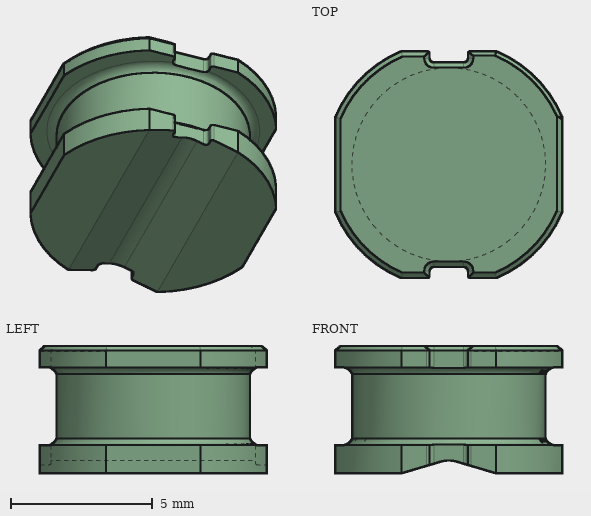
import cadquery as cq
import math

width = 8.0
height = 4.5
flat_length = 3.34
half_width = width / 2
half_flat = flat_length / 2
corner_radius = math.hypot(half_width, half_flat)

bottom_thickness = 1.0
top_thickness = 0.76
core_radius = 6.82 / 2
flare_reach = 0.34
flare_height = 0.24
rim_chamfer_in = 0.19
rim_chamfer_down = 0.16

notch_width = 1.34
notch_depth = 0.39
notch_inner_radius = 0.14
notch_mouth_radius = 0.1

channel_peak = 0.5
channel_peak_radius = 1.0

top_flange_base = height - top_thickness


def notch_cutter(direction):
    """Rounded notch with flared mouth, open towards +Y or -Y."""
    half = notch_width / 2
    r_in = notch_inner_radius
    r_out = notch_mouth_radius
    floor = half_width - notch_depth
    diagonal = math.sqrt(0.5)
    bend_in = r_in * (1 - diagonal)
    bend_out = r_out * (1 - diagonal)
    cutter = (
        cq.Workplane("XY")
        .moveTo(-half - r_out, half_width)
        .threePointArc((-half - bend_out, half_width - bend_out), (-half, half_width - r_out))
        .lineTo(-half, floor + r_in)
        .threePointArc((-half + bend_in, floor + bend_in), (-half + r_in, floor))
        .lineTo(half - r_in, floor)
        .threePointArc((half - bend_in, floor + bend_in), (half, floor + r_in))
        .lineTo(half, half_width - r_out)
        .threePointArc((half + bend_out, half_width - bend_out), (half + r_out, half_width))
        .close()
        .extrude(height)
    )
    return cutter if direction > 0 else cutter.mirror("XZ")


def flange(base, thickness):
    """Square plate with round corners and a sharp-mouthed notch in the front and back flats."""
    square = cq.Workplane("XY").rect(width, width).extrude(thickness)
    plate = cq.Workplane("XY").circle(corner_radius).extrude(thickness).intersect(square)
    notch_center = half_width - notch_depth / 2
    for side in (-1, 1):
        notch = (
            cq.Workplane("XY")
            .center(0, side * notch_center)
            .rect(notch_width, notch_depth)
            .extrude(thickness)
            .edges("|Z")
            .edges("<Y" if side > 0 else ">Y")
            .fillet(notch_inner_radius)
        )
        plate = plate.cut(notch)
    return plate.translate((0, 0, base))


def core():
    """Round core, flared into both flanges by arcs that run out tangent to the flange faces."""
    flare_radius = core_radius + flare_reach
    arc_radius = (flare_reach**2 + flare_height**2) / (2 * flare_height)
    half_angle = math.atan2(flare_height, flare_reach)
    bend_radius = flare_radius - arc_radius * math.sin(half_angle)
    bend_rise = arc_radius * (1 - math.cos(half_angle))
    low = bottom_thickness
    high = top_flange_base
    return (
        cq.Workplane("XZ")
        .moveTo(0, low)
        .lineTo(flare_radius, low)
        .threePointArc((bend_radius, low + bend_rise), (core_radius, low + flare_height))
        .lineTo(core_radius, high - flare_height)
        .threePointArc((bend_radius, high - bend_rise), (flare_radius, high))
        .lineTo(0, high)
        .close()
        .revolve(360, (0, 0, 0), (0, 1, 0))
    )


def bottom_channel():
    """V with a rounded peak, running through along Y."""
    slope = math.atan2(channel_peak, half_flat)
    tangent_x = channel_peak_radius * math.sin(slope)
    tangent_z = channel_peak * (1 - tangent_x / half_flat)
    crest = tangent_z + channel_peak_radius * (1 - math.cos(slope))
    return (
        cq.Workplane("XZ")
        .moveTo(-half_flat, 0)
        .lineTo(-tangent_x, tangent_z)
        .threePointArc((0, crest), (tangent_x, tangent_z))
        .lineTo(half_flat, 0)
        .close()
        .extrude(half_width, both=True)
    )


top_flange = (
    flange(top_flange_base, top_thickness)
    .faces(">Z")
    .chamfer(rim_chamfer_in, rim_chamfer_down)
)
bottom_flange = flange(0, bottom_thickness).cut(bottom_channel())

result = bottom_flange.union(core()).union(top_flange)

for side in (-1, 1):
    result = result.cut(notch_cutter(side))